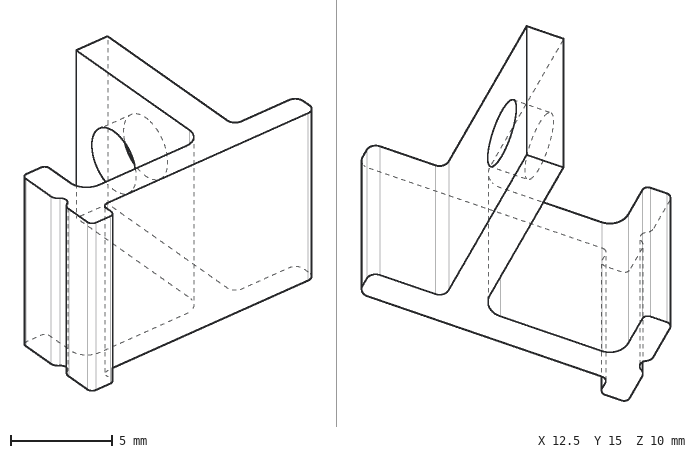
import cadquery as cq
import math

overall_width = 12.5
overall_depth = 15.0
height = 10.0

wall = 1.5
foot_width = 5.5
foot_overhang = 1.0

arm_front = 9.0
arm_thickness = 2.0
hole_diameter = 3.5
hole_from_end = 3.0

large_fillet = 1.0
medium_fillet = 0.5
small_fillet = 0.3

groove_radius = 0.35
groove_depth = 0.4
groove_lip_radius = 0.46

foot_left = overall_width - foot_width
web_right = overall_width - foot_overhang
web_left = web_right - wall
arm_back = arm_front + arm_thickness
groove_x = web_left


def block(x_min, x_max, y_min, y_max):
    """Full-height rectangular block."""
    return cq.Workplane("XY").box(
        x_max - x_min, y_max - y_min, height, centered=False
    ).translate((x_min, y_min, 0))


def round_edges(body, radius, points):
    """Fillet the vertical edges nearest to the given XY points."""
    edges = cq.Workplane("XY")
    for x, y in points:
        edge = body.edges("|Z").edges(cq.selectors.NearestToPointSelector((x, y, height / 2)))
        edges = edges.add(edge)
    return body.newObject([body.val().fillet(radius, edges.vals())])


def groove_cutter():
    """Round-bottomed groove with rounded lips, tangent to the foot face."""
    floor_center_y = groove_depth - groove_radius
    center_distance = groove_radius + groove_lip_radius
    lip_rise = groove_lip_radius - floor_center_y
    mouth_half = math.sqrt(center_distance**2 - lip_rise**2)

    join_x = mouth_half * groove_radius / center_distance
    join_y = floor_center_y + lip_rise * groove_radius / center_distance
    return (
        cq.Workplane("XY")
        .moveTo(groove_x - mouth_half, 0)
        .radiusArc((groove_x - join_x, join_y), -groove_lip_radius)
        .threePointArc((groove_x, groove_depth), (groove_x + join_x, join_y))
        .radiusArc((groove_x + mouth_half, 0), -groove_lip_radius)
        .close()
        .extrude(height)
    )


body = block(web_left, web_right, 0, overall_depth)
body = body.union(block(0, web_right, arm_front, arm_back))
body = body.union(block(foot_left, overall_width, 0, wall)).clean()

body = round_edges(body, large_fillet, [(web_left, arm_front), (web_left, wall)])
body = round_edges(
    body,
    medium_fillet,
    [(web_left, arm_back), (web_left, overall_depth), (web_right, overall_depth)],
)
foot_corners = [(x, y) for x in (foot_left, overall_width) for y in (0, wall)]
body = round_edges(body, small_fillet, foot_corners + [(web_right, wall)])

body = body.cut(groove_cutter())

hole = (
    cq.Workplane("XZ", origin=(hole_from_end, arm_back, height / 2))
    .circle(hole_diameter / 2)
    .extrude(arm_thickness)
)
result = body.cut(hole)